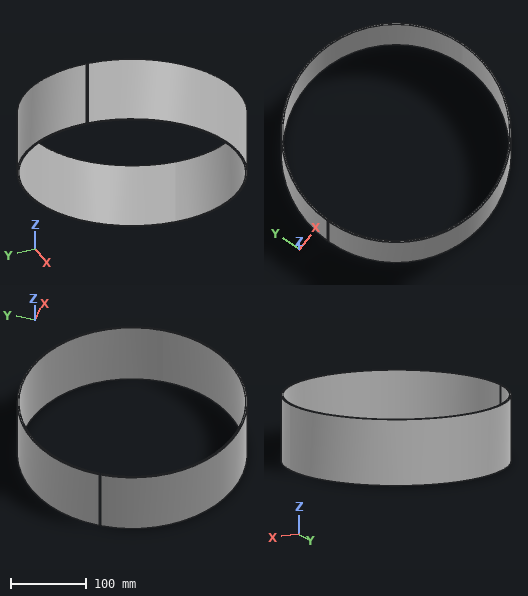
import cadquery as cq
import math

outer_diameter = 305.0
wall_thickness = 2.5
height = 90.0
outer_chamfer = 0.5
inner_chamfer = 0.2
slit_angle = 1.0

outer_radius = outer_diameter / 2
inner_radius = outer_radius - wall_thickness


def make_wall_section():
    """Wall cross-section on the +X side, with both rims chamfered inside and out."""
    return (
        cq.Workplane("XZ")
        .moveTo(inner_radius, inner_chamfer)
        .lineTo(inner_radius, height - inner_chamfer)
        .lineTo(inner_radius + inner_chamfer, height)
        .lineTo(outer_radius - outer_chamfer, height)
        .lineTo(outer_radius, height - outer_chamfer)
        .lineTo(outer_radius, outer_chamfer)
        .lineTo(outer_radius - outer_chamfer, 0)
        .lineTo(inner_radius + inner_chamfer, 0)
        .close()
    )


def make_full_ring():
    """Closed thin-walled ring centred on Z, standing on the XY plane."""
    return make_wall_section().revolve(360, (0, 0, 0), (0, 1, 0))


def make_slit_cutter():
    """Full-height wedge through the -X wall: one radial face at Y = 0, the other on the +Y side."""
    reach = outer_diameter
    return (
        cq.Workplane("XY")
        .lineTo(-reach, 0)
        .lineTo(-reach, reach * math.tan(math.radians(slit_angle)))
        .close()
        .extrude(height)
    )


result = make_full_ring().cut(make_slit_cutter())